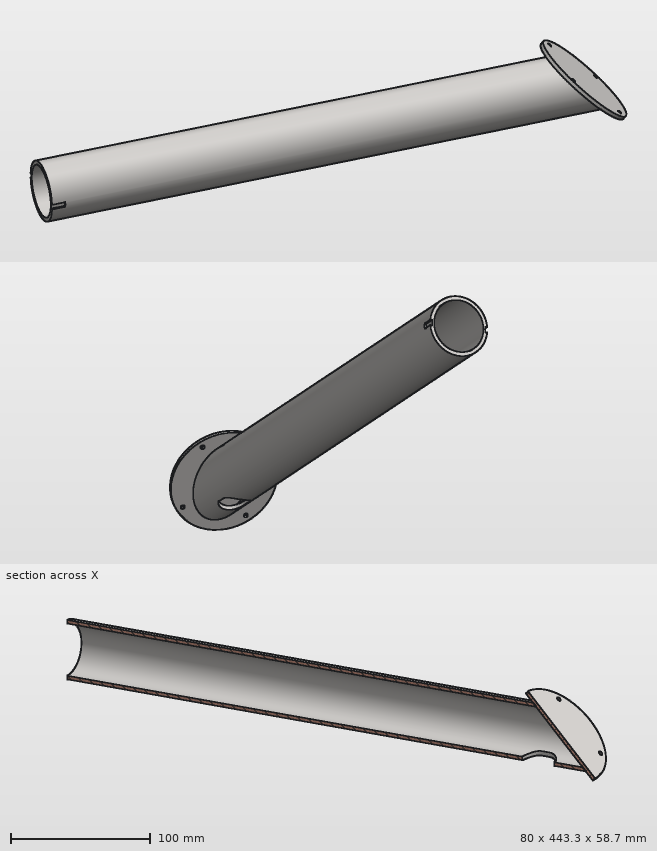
import cadquery as cq
import math

total_length = 443.3
plate_diameter = 80.0
plate_thickness = 3.0
plate_tilt = 45.0
screw_circle_diameter = 70.0
screw_hole_diameter = 3.0
screw_count = 4
first_screw_angle = 45.0

tube_outer_diameter = 44.8
tube_wall = 3.0
tube_inner_diameter = tube_outer_diameter - 2 * tube_wall

groove_length = 10.0
groove_width = 4.0
groove_depth = tube_wall / 2

drain_width = 20.5
drain_length = 26.5
drain_distance = 48.0

tilt = math.radians(plate_tilt)
plate_end_y = plate_diameter / 2 * math.cos(tilt) + plate_thickness * math.sin(tilt)
tube_end_y = plate_end_y - total_length
plate_plane = cq.Plane(
    origin=(0, 0, 0),
    xDir=(1, 0, 0),
    normal=(0, math.sin(tilt), math.cos(tilt)),
)


def make_plate():
    """Round mounting plate with a ring of screw holes."""
    disc = cq.Workplane(plate_plane).circle(plate_diameter / 2).extrude(plate_thickness)
    screw_holes = (
        cq.Workplane(plate_plane)
        .polarArray(screw_circle_diameter / 2, first_screw_angle, 360, screw_count)
        .circle(screw_hole_diameter / 2)
        .extrude(plate_thickness)
    )
    return disc.cut(screw_holes)


def tube_blank():
    """Hollow cylinder along Y, cut off flush with the underside of the plate."""
    blank = (
        cq.Workplane("XZ", origin=(0, plate_end_y, 0))
        .circle(tube_outer_diameter / 2)
        .circle(tube_inner_diameter / 2)
        .extrude(total_length)
    )
    beyond_plate = cq.Workplane(plate_plane).circle(plate_diameter).extrude(plate_diameter)
    return blank.cut(beyond_plate)


def end_groove(side):
    """Shallow groove on the outside of the open end, at +X or -X."""
    center_x = side * (tube_outer_diameter - groove_depth) / 2
    center_y = tube_end_y + groove_length / 2
    return (
        cq.Workplane("XY", origin=(center_x, center_y, 0))
        .box(groove_depth, groove_length, groove_width)
    )


def drain_slot():
    """Vertical slot cutter from the tube axis down through the bottom wall."""
    return (
        cq.Workplane("XY", origin=(0, plate_end_y - drain_distance, 0))
        .slot2D(drain_length, drain_width, 90)
        .extrude(-tube_outer_diameter)
    )


def make_tube():
    """Mitred tube with its drain slot and end grooves."""
    tube = tube_blank().cut(drain_slot())
    for side in (-1, 1):
        tube = tube.cut(end_groove(side))
    return tube


plate = make_plate()
tube = make_tube()
result = cq.Compound.makeCompound([plate.val(), tube.val()])